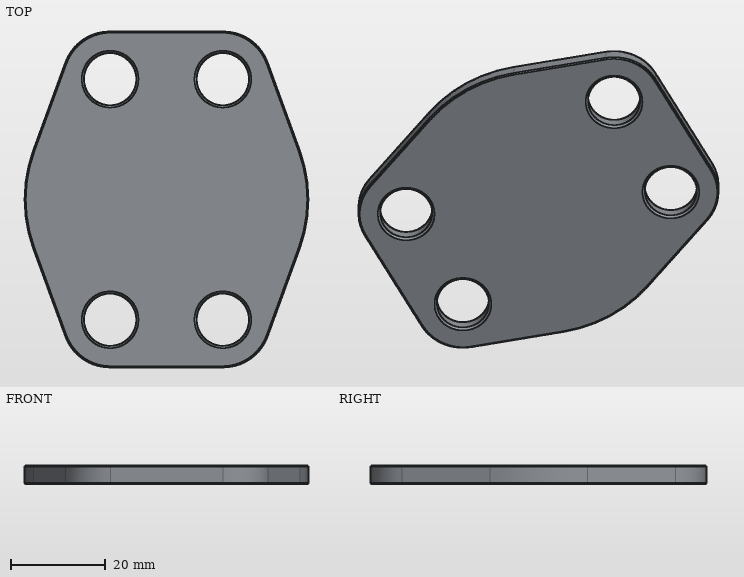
import cadquery as cq
import math

thickness = 4.0
length = 71.0
side_radius = 30.0
hole_pitch_x = 23.8
hole_pitch_y = 50.8
hole_diameter = 11.0
edge_chamfer = 0.3
hole_chamfer = 0.5

hole_x = hole_pitch_x / 2
hole_y = hole_pitch_y / 2
corner_radius = length / 2 - hole_y

centre_distance = math.hypot(hole_x, hole_y)
normal_angle = math.atan2(hole_y, hole_x) - math.acos((side_radius - corner_radius) / centre_distance)


def polar(center_x, center_y, radius, angle):
    """Point on a circle at an angle measured from +X."""
    return (center_x + radius * math.cos(angle), center_y + radius * math.sin(angle))


def mirror_x(point):
    return (-point[0], point[1])


def mirror_y(point):
    return (point[0], -point[1])


def rotate_half_turn(point):
    return (-point[0], -point[1])


def make_plate():
    """Hexagon-like plate with tangent arcs at its corners and sides."""
    side_end = polar(0, 0, side_radius, normal_angle)
    side_middle = (side_radius, 0)
    corner_start = polar(hole_x, hole_y, corner_radius, normal_angle)
    corner_middle = polar(hole_x, hole_y, corner_radius, (normal_angle + math.pi / 2) / 2)
    corner_end = (hole_x, length / 2)

    outline = (
        cq.Workplane("XY")
        .moveTo(*mirror_y(side_end))
        .threePointArc(side_middle, side_end)
        .lineTo(*corner_start)
        .threePointArc(corner_middle, corner_end)
        .lineTo(*mirror_x(corner_end))
        .threePointArc(mirror_x(corner_middle), mirror_x(corner_start))
        .lineTo(*mirror_x(side_end))
        .threePointArc(mirror_x(side_middle), rotate_half_turn(side_end))
        .lineTo(*rotate_half_turn(corner_start))
        .threePointArc(rotate_half_turn(corner_middle), rotate_half_turn(corner_end))
        .lineTo(*mirror_y(corner_end))
        .threePointArc(mirror_y(corner_middle), mirror_y(corner_start))
        .close()
    )
    return outline.extrude(thickness).faces("<Z or >Z").edges().chamfer(edge_chamfer)


def cut_bolt_holes(plate):
    """Four through holes, chamfered at both mouths."""
    hole = (
        cq.Workplane("XY")
        .rect(hole_pitch_x, hole_pitch_y, forConstruction=True)
        .vertices()
        .circle(hole_diameter / 2)
        .extrude(thickness)
    )
    drilled = plate.cut(hole)
    return drilled.faces("<Z or >Z").edges("%CIRCLE").edges(
        cq.selectors.RadiusNthSelector(0)
    ).chamfer(hole_chamfer)


result = cut_bolt_holes(make_plate())